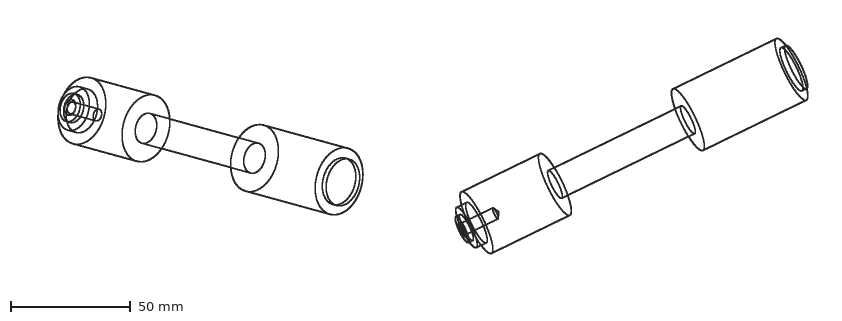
import cadquery as cq
import math

total_length = 159.0

tip_length = 2.0
tip_diameter = 12.1
collar_length = 4.8
collar_diameter = 18.8

roller_diameter = 28.6
left_roller_length = 37.4
right_roller_length = 49.3
shaft_diameter = 12.9

flange_length = 2.2
flange_diameter = 20.0

hole_diameter = 5.1
hole_depth = 15.9
hole_mouth_diameter = 6.7
hole_tip_angle = 118.0

shaft_length = (
    total_length - tip_length - collar_length - left_roller_length
    - right_roller_length - flange_length
)


def build_stepped_body(steps):
    """Stack coaxial cylinders along +X from (length, diameter) pairs."""
    body = None
    start = 0.0
    for length, diameter in steps:
        cylinder = cq.Workplane("YZ", origin=(start, 0, 0)).circle(diameter / 2).extrude(length)
        body = body.union(cylinder) if body else cylinder
        start += length
    return body


def build_hole():
    """Revolve the drilled hole about the X axis; the mouth chamfer is 45 degrees."""
    radius = hole_diameter / 2
    mouth_radius = hole_mouth_diameter / 2
    mouth_depth = mouth_radius - radius
    tip_depth = radius / math.tan(math.radians(hole_tip_angle / 2))
    profile = (
        cq.Workplane("XY")
        .polyline([
            (0, 0),
            (0, mouth_radius),
            (mouth_depth, radius),
            (hole_depth, radius),
            (hole_depth + tip_depth, 0),
        ])
        .close()
    )
    return profile.revolve(360, (0, 0, 0), (1, 0, 0))


body = build_stepped_body([
    (tip_length, tip_diameter),
    (collar_length, collar_diameter),
    (left_roller_length, roller_diameter),
    (shaft_length, shaft_diameter),
    (right_roller_length, roller_diameter),
    (flange_length, flange_diameter),
])
result = body.cut(build_hole())